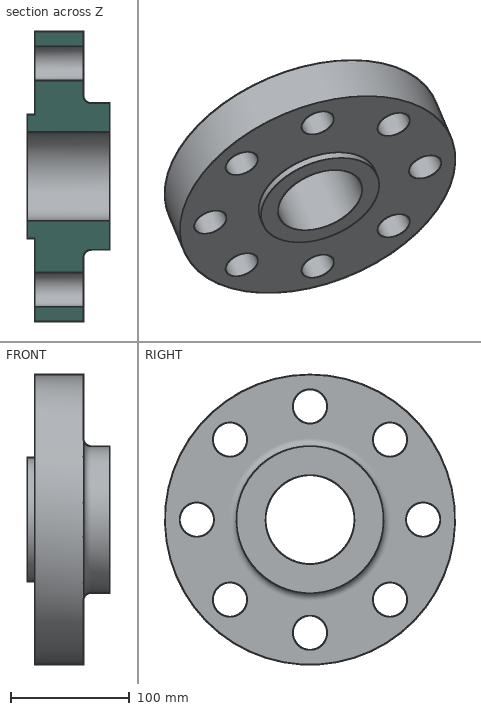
import cadquery as cq
import math

flange_diameter = 244.475
flange_thickness = 41.275

raised_face_diameter = 104.775
raised_face_height = 6.35

overall_length = 69.85
hub_diameter = 123.825
hub_fillet_radius = 6.35

bore_diameter = 74.6125
bolt_circle_diameter = 190.5
bolt_hole_diameter = 28.575
bolt_hole_count = 8

flange_front = raised_face_height
flange_back = flange_front + flange_thickness
hub_fillet_end = flange_back + hub_fillet_radius

raised_face_radius = raised_face_diameter / 2
flange_radius = flange_diameter / 2
hub_radius = hub_diameter / 2
bore_radius = bore_diameter / 2


def make_body():
    """Revolve the wall section (axial position, radius) about the X axis, leaving the bore open."""
    fillet_start = (flange_back, hub_radius + hub_fillet_radius)
    fillet_sag = hub_fillet_radius * (1 - math.sqrt(0.5))
    fillet_middle = (flange_back + fillet_sag, hub_radius + fillet_sag)
    fillet_end = (hub_fillet_end, hub_radius)
    return (
        cq.Workplane("XZ")
        .moveTo(0, bore_radius)
        .lineTo(0, raised_face_radius)
        .lineTo(flange_front, raised_face_radius)
        .lineTo(flange_front, flange_radius)
        .lineTo(flange_back, flange_radius)
        .lineTo(*fillet_start)
        .threePointArc(fillet_middle, fillet_end)
        .lineTo(overall_length, hub_radius)
        .lineTo(overall_length, bore_radius)
        .close()
        .revolve(360, (0, 0, 0), (1, 0, 0))
    )


def make_bolt_holes():
    """Cylinders on the bolt circle, the first one on the Y axis."""
    return (
        cq.Workplane("YZ")
        .polarArray(bolt_circle_diameter / 2, 0, 360, bolt_hole_count)
        .circle(bolt_hole_diameter / 2)
        .extrude(overall_length)
    )


result = make_body().cut(make_bolt_holes())